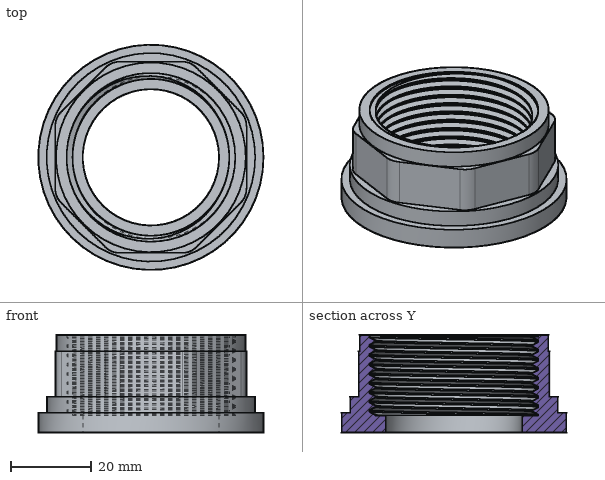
import cadquery as cq
import math

flange_diameter = 56.0
shoulder_diameter = 51.8
collar_diameter = 47.1
flange_height = 5.0
shoulder_height = 4.0
octagon_height = 11.3
collar_height = 4.0
total_height = flange_height + shoulder_height + octagon_height + collar_height

octagon_sides = 8
across_flats = 47.5
corner_radius = 5.0

through_hole_diameter = 33.8
floor_height = 4.3

thread_major_diameter = 41.91
thread_minor_diameter = 38.95
inch = 25.4
turns_per_inch = 11
thread_pitch = inch / turns_per_inch
flank_angle = math.radians(55 / 2)
thread_top_relief = 0.4
thread_top = total_height - thread_top_relief
ridge_embedding = 0.2


def disc(diameter, bottom, height):
    return cq.Workplane("XY").workplane(offset=bottom).circle(diameter / 2).extrude(height)


def octagon_section():
    across_corners = across_flats / math.cos(math.pi / octagon_sides)
    return (
        cq.Workplane("XY")
        .workplane(offset=flange_height + shoulder_height)
        .polygon(octagon_sides, across_corners)
        .extrude(octagon_height)
        .rotate((0, 0, 0), (0, 0, 1), 180 / octagon_sides)
        .edges("|Z")
        .fillet(corner_radius)
    )


def outer_body():
    flange = disc(flange_diameter, 0, flange_height)
    shoulder = disc(shoulder_diameter, flange_height, shoulder_height)
    collar = disc(collar_diameter, total_height - collar_height, collar_height)
    return flange.union(shoulder).union(octagon_section()).union(collar)


def thread_ridge():
    """Helical ridge whose crest crosses the thread's top plane on the +X side."""
    major_radius = thread_major_diameter / 2
    minor_radius = thread_minor_diameter / 2
    flank_rise = (major_radius - minor_radius) * math.tan(flank_angle)
    half_crest = (thread_pitch - 2 * flank_rise) / 4
    outer_radius = major_radius + ridge_embedding
    half_base = half_crest + (outer_radius - minor_radius) * math.tan(flank_angle)

    turns_below_top = math.ceil((thread_top - floor_height) / thread_pitch) + 1
    start_height = thread_top - turns_below_top * thread_pitch
    helix_height = (turns_below_top + 1) * thread_pitch
    helix = cq.Wire.makeHelix(thread_pitch, helix_height, major_radius, center=cq.Vector(0, 0, start_height))

    ridge = (
        cq.Workplane("XZ", origin=(0, 0, start_height))
        .moveTo(outer_radius, -half_base)
        .lineTo(minor_radius, -half_crest)
        .lineTo(minor_radius, half_crest)
        .lineTo(outer_radius, half_base)
        .close()
        .sweep(cq.Workplane(obj=helix), isFrenet=True)
    )
    trim = disc(collar_diameter, floor_height, thread_top - floor_height)
    return ridge.intersect(trim)


through_hole = disc(through_hole_diameter, 0, total_height)
threaded_bore = disc(thread_major_diameter, floor_height, total_height - floor_height)
result = outer_body().cut(through_hole).cut(threaded_bore).union(thread_ridge())